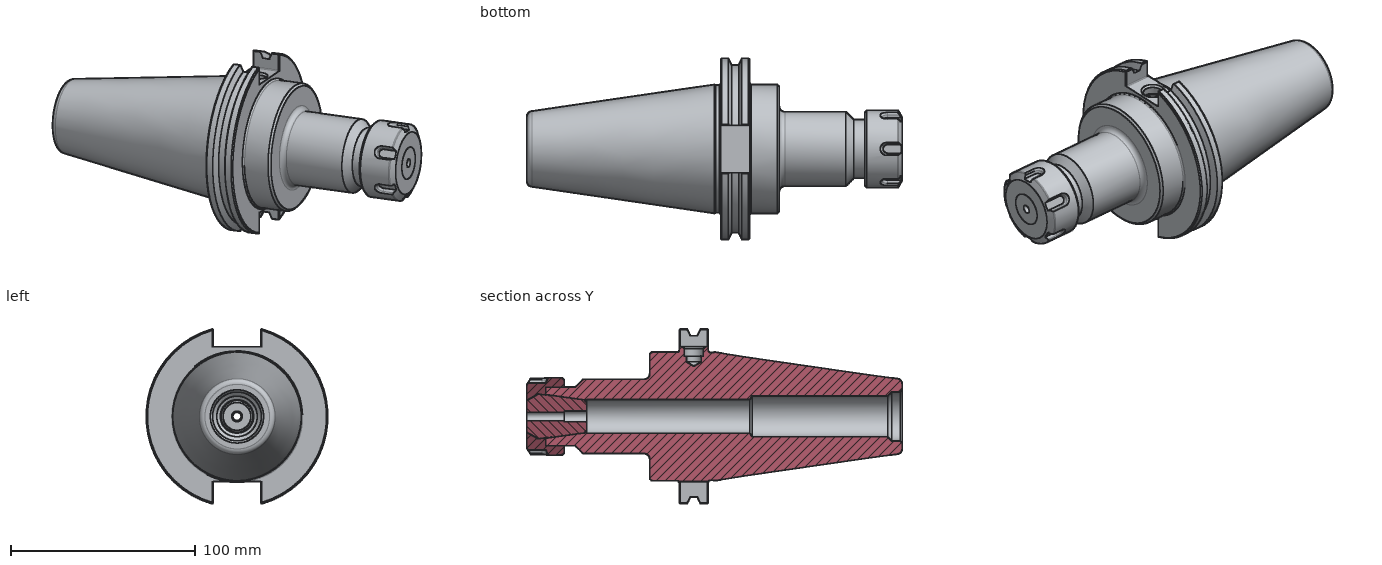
import cadquery as cq
import math

length = 203.2
taper_end = 101.5
relief_start = 102.2
flange_start = 104.9
flange_end = 120.7
groove_center = 112.8
hub_end = 136.8
nose_end = 177.0
nut_start = 182.9
thread_end = 193.0
collet_start = 170.7

taper_radius = 35.0
taper_slope = 7 / 48
taper_small_radius = taper_radius - taper_slope * taper_end
relief_radius = 69.3 / 2
flange_radius = 98.3 / 2
hub_radius = 35.0
nose_radius = 40.5 / 2
thread_radius = 32.0 / 2

end_fillet = 3.0
flange_chamfer = 0.71
hub_chamfer = 1.2
nose_fillet = 2.8
flange_root_fillet = 0.8
slot_edge_chamfer = 0.6
slot_corner_fillet = 0.5

groove_depth = 3.7
groove_half_width = 3.7
groove_floor_half_width = 1.8

drive_slot_width = 25.8
upper_slot_floor = 37.7
lower_slot_floor = 35.25

drive_hole_radius = 10.2 / 2
drive_hole_depth = 5.0
drill_radius = 8.0 / 2
drill_depth = 8.1
drill_point_half_angle = 59.0
drive_hole_chamfer = 1.12

mouth_radius = 14.5
entry_radius = 26.5 / 2
entry_end = 5.7
bore_radius = 22.0 / 2
bore_end = 81.3
passage_radius = 18.0 / 2

collet_rear_radius = 17.3 / 2
collet_rear_chamfer_radius = 15.0 / 2
collet_half_angle = 8.0
collet_shoulder = 197.1
collet_front_half_angle = 30.0
collet_relief_radius = 5.7 / 2
collet_relief_depth = 12.2
collet_bore_radius = 4.5 / 2

nut_radius = 42.0 / 2
nut_rear_chamfer = 1.2
nut_front_chamfer_length = 2.2
nut_front_radius = 17.0
nut_front_edge_fillet = 0.6

nut_slot_count = 6
nut_slot_floor = 18.19
nut_slot_floor_half_width = 2.2
nut_slot_wall_angle = 20.0
nut_slot_chamfer_radius = 19.81
nut_slot_chamfer_angle = 38.0
nut_slot_start = 192.8
long_slot_index = 1
long_slot_extra = 2.6
nut_slot_clearance = 2.0

collet_slope = math.tan(math.radians(collet_half_angle))
collet_shoulder_radius = collet_rear_radius + collet_slope * (collet_shoulder - collet_start)
collet_front_slope = math.tan(math.radians(collet_front_half_angle))
collet_front_radius = collet_shoulder_radius - collet_front_slope * (length - collet_shoulder)


def revolve_about_x(points):
    """Solid of revolution from (x, radius) points."""
    return cq.Workplane("XY").polyline(points).close().revolve(360, (0, 0, 0), (1, 0, 0))


def cylinder_along_x(start, end, radius):
    return cq.Workplane("YZ").workplane(offset=start).circle(radius).extrude(end - start)


def fillet_circle(body, x, radius, fillet_radius):
    """Fillet the one circular edge that runs around X at the given place and radius."""
    margin = 0.1
    reach = radius + margin
    near = cq.selectors.BoxSelector(
        (x - margin, -reach, -reach), (x + margin, reach, reach), boundingbox=True
    )
    return body.edges(near).edges(cq.selectors.RadiusNthSelector(-1)).fillet(fillet_radius)


def holder_blank():
    blank = revolve_about_x([
        (0, 0),
        (0, taper_small_radius),
        (taper_end, taper_radius),
        (relief_start, relief_radius),
        (flange_start, relief_radius),
        (flange_start, flange_radius - flange_chamfer),
        (flange_start + flange_chamfer, flange_radius),
        (groove_center - groove_half_width, flange_radius),
        (groove_center - groove_floor_half_width, flange_radius - groove_depth),
        (groove_center + groove_floor_half_width, flange_radius - groove_depth),
        (groove_center + groove_half_width, flange_radius),
        (flange_end - flange_chamfer, flange_radius),
        (flange_end, flange_radius - flange_chamfer),
        (flange_end, hub_radius),
        (hub_end - hub_chamfer, hub_radius),
        (hub_end, hub_radius - hub_chamfer),
        (hub_end, nose_radius),
        (nose_end - (nose_radius - thread_radius), nose_radius),
        (nose_end, thread_radius),
        (thread_end, thread_radius),
        (thread_end, 0),
    ])
    blank = blank.faces("<X").edges().fillet(end_fillet)
    blank = fillet_circle(blank, flange_start, relief_radius, flange_root_fillet)
    blank = fillet_circle(blank, flange_end, hub_radius, flange_root_fillet)
    return fillet_circle(blank, hub_end, nose_radius, nose_fillet)


def drive_slot(floor):
    """Cutter for a drive slot at +Z: rounded floor corners, and chamfers along the wall edges."""
    half = drive_slot_width / 2
    flare = half + slot_edge_chamfer
    height = flange_radius - floor
    slot = (
        cq.Workplane("XY")
        .box(flange_end - flange_start, drive_slot_width, height)
        .edges("|X and <Z").fillet(slot_corner_fillet)
        .translate(((flange_start + flange_end) / 2, 0, floor + height / 2))
    )

    for face, inward in ((flange_start, slot_edge_chamfer), (flange_end, -slot_edge_chamfer)):
        for side in (1, -1):
            wedge = (
                cq.Workplane("XY").workplane(offset=floor)
                .polyline([(face, side * half), (face, side * flare), (face + inward, side * half)])
                .close().extrude(height)
            )
            slot = slot.union(wedge)

    rim = math.sqrt(flange_radius**2 - half**2)
    rise = flange_radius - rim + slot_edge_chamfer
    flare_profile = [
        (-half, flange_radius - rise),
        (half, flange_radius - rise),
        (half + rise, flange_radius),
        (-half - rise, flange_radius),
    ]
    rim_flare = (
        cq.Workplane("YZ").workplane(offset=flange_start)
        .polyline(flare_profile).close().extrude(flange_end - flange_start)
    )
    return slot.union(rim_flare)


def drive_hole():
    """Chamfered, stepped hole with a drilled point, revolved about its own Z axis."""
    floor = upper_slot_floor
    point_depth = drill_radius / math.tan(math.radians(drill_point_half_angle))
    profile = [
        (0, floor),
        (drive_hole_radius + drive_hole_chamfer, floor),
        (drive_hole_radius, floor - drive_hole_chamfer),
        (drive_hole_radius, floor - drive_hole_depth),
        (drill_radius, floor - drive_hole_depth),
        (drill_radius, floor - drill_depth),
        (0, floor - drill_depth - point_depth),
    ]
    hole = cq.Workplane("XZ").polyline(profile).close().revolve(360, (0, 0, 0), (0, 1, 0))
    return hole.translate((groove_center, 0, 0))


def holder_bore():
    """Bore from the small end, running into the tapered collet seat."""
    point_slope = math.tan(math.radians(drill_point_half_angle))
    passage_start = bore_end + (bore_radius - passage_radius) / point_slope
    return revolve_about_x([
        (0, 0),
        (0, mouth_radius),
        (mouth_radius - entry_radius, entry_radius),
        (entry_end, entry_radius),
        (entry_end + entry_radius - bore_radius, bore_radius),
        (bore_end, bore_radius),
        (passage_start, passage_radius),
        (collet_start, passage_radius),
        (collet_start, collet_rear_radius),
        (thread_end, collet_rear_radius + collet_slope * (thread_end - collet_start)),
        (thread_end, 0),
    ])


def make_holder():
    holder = holder_blank()
    holder = holder.cut(drive_slot(upper_slot_floor))
    holder = holder.cut(drive_slot(lower_slot_floor).mirror("XY"))
    return holder.cut(drive_hole()).cut(holder_bore())


def collet_envelope():
    chamfer = collet_rear_radius - collet_rear_chamfer_radius
    return revolve_about_x([
        (collet_start, 0),
        (collet_start, collet_rear_chamfer_radius),
        (collet_start + chamfer, collet_rear_radius + collet_slope * chamfer),
        (collet_shoulder, collet_shoulder_radius),
        (length, collet_front_radius),
        (length, 0),
    ])


def make_collet():
    relief_end_x = collet_start + collet_relief_depth
    relief = cylinder_along_x(collet_start, relief_end_x, collet_relief_radius)
    bore = cylinder_along_x(relief_end_x, length, collet_bore_radius)
    return collet_envelope().cut(relief).cut(bore)


def slot_prism(start, half, bottom, top, wall_angle):
    """Round-ended, open prism at +Z between two radii, with walls leaning outward."""
    run_out = length + half
    return (
        cq.Workplane("XY").workplane(offset=bottom)
        .moveTo(run_out, half)
        .lineTo(start + half, half)
        .threePointArc((start, 0), (start + half, -half))
        .lineTo(run_out, -half)
        .close()
        .extrude(top - bottom, taper=-wall_angle)
    )


def nut_slot(start):
    """Cutter for a wrench slot at +Z: leaning walls below a wider edge chamfer."""
    wall_height = nut_slot_chamfer_radius - nut_slot_floor
    spread = wall_height * math.tan(math.radians(nut_slot_wall_angle))
    walls = slot_prism(
        start, nut_slot_floor_half_width, nut_slot_floor, nut_slot_chamfer_radius, nut_slot_wall_angle
    )
    chamfer = slot_prism(
        start - spread, nut_slot_floor_half_width + spread,
        nut_slot_chamfer_radius, nut_radius + nut_slot_clearance, nut_slot_chamfer_angle,
    )
    return walls.union(chamfer)


def make_nut():
    front_edge = length - nut_front_chamfer_length
    nut = revolve_about_x([
        (nut_start, 0),
        (nut_start, nut_radius - nut_rear_chamfer),
        (nut_start + nut_rear_chamfer, nut_radius),
        (front_edge, nut_radius),
        (length, nut_front_radius),
        (length, 0),
    ])
    nut = fillet_circle(nut, front_edge, nut_radius, nut_front_edge_fillet)
    nut = nut.cut(cylinder_along_x(nut_start, thread_end, thread_radius))
    nut = nut.cut(collet_envelope())
    for index in range(nut_slot_count):
        extra = long_slot_extra if index == long_slot_index else 0
        slot = nut_slot(nut_slot_start - extra)
        angle = -index * 360 / nut_slot_count
        nut = nut.cut(slot.rotate((0, 0, 0), (1, 0, 0), angle))
    return nut


holder = make_holder()
collet = make_collet()
nut = make_nut()

result = cq.Compound.makeCompound([holder.solids().val(), collet.solids().val(), nut.solids().val()])